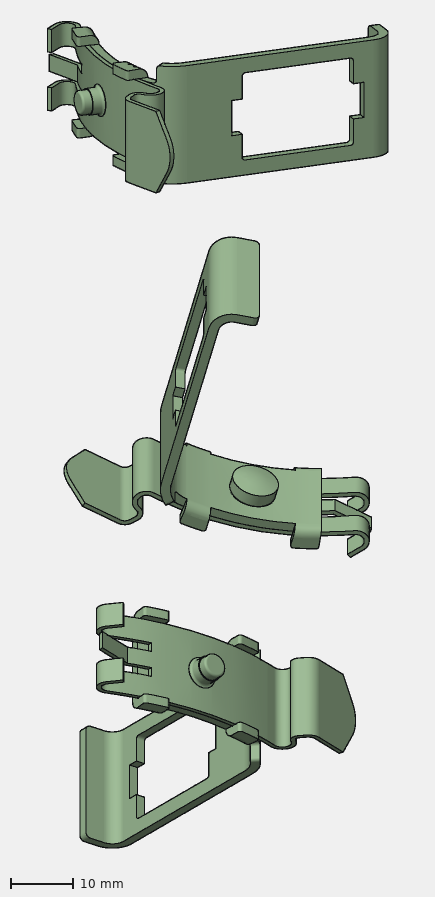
import cadquery as cq
import math


bracket_thickness = 1.6
spring_thickness = 0.8
contact_radius = 47.5
bracket_back_radius = contact_radius - bracket_thickness
spring_front_radius = contact_radius + spring_thickness
cutter_reach = 30.4
strip_width = 13.85

bracket_width = 20.0
bracket_top = 44.0
base_bend_start = 14.2
base_bend_radius = 4.75
top_bend_radius = 2.2
flange_length = 3.7
flange_corner_radius = 0.9
widening_heading = 44.0
widening_fillet = 0.6

window_length = 19.4
window_height = 14.85
window_center_y = 26.95
window_corner_radius = 0.5
window_notch_length = 23.1
slot_span = 5.95

grip_inner_x = 7.0
grip_outer_x = 11.45
grip_end_slope = 0.1
grip_low_y = -2.55
grip_high_y = 4.05
tab_front_depth = 2.15
grip_front_radius = contact_radius + tab_front_depth
tab_clearance = 0.05
grip_width = strip_width + 2 * (tab_clearance + bracket_thickness)
tab_bend_radius = bracket_thickness + tab_clearance
tab_corner_radius = 0.5

spring_half_angle = 18.0
shoulder_length = 2.0
hook_radius = 1.35
hook_turn = 148.0
hook_tail = 2.7
crest_radius = 1.45
crest_turn = 158.5
crest_tail = 0.4
valley_radius = 0.85
valley_turn = 93.5
valley_tail = 1.1
foot_radius = 1.4
foot_turn = 65.0
nose_start = 6.65
nose_slope = 0.65
nose_radius = 5.3
slot_root_x = -9.45
tongue_width = 2.9
tongue_crease_x = -13.55
tongue_end_x = -20.15
tongue_angle = 18.0

pin_radius = 2.0
pin_tip_y = -4.45
pin_tip_fillet = 0.4
head_radius = 3.8
head_seat_depth = 0.05
head_base_y = bracket_thickness - head_seat_depth
head_rim_y = 3.85
head_top_y = 4.5
collar_radius = 2.2
collar_end_y = -2.8
collar_flare = 0.45


def face_path(moves, thickness, side):
    """Follow the left (side 0) or right (side 1) face of a strip that starts at the origin along +X.

    A move is (length,) or (inner radius, turn angle), where a positive angle turns left.
    Returns the start point, the segments as (arc midpoint or None, end point), and the final heading.
    """
    heading = 0.0
    x, y = 0.0, -side * thickness
    start = (x, y)
    segments = []
    for move in moves:
        if len(move) == 1:
            x += move[0] * math.cos(heading)
            y += move[0] * math.sin(heading)
            segments.append((None, (x, y)))
            continue
        inner_radius, angle = move
        sign = math.copysign(1, angle)
        is_outer_face = (angle > 0) == (side == 1)
        swing = sign * (inner_radius + (thickness if is_outer_face else 0))
        center_x = x - swing * math.sin(heading)
        center_y = y + swing * math.cos(heading)
        arc_points = []
        for part in (0.5, 1.0):
            direction = heading + part * math.radians(angle)
            arc_x = center_x + swing * math.sin(direction)
            arc_y = center_y - swing * math.cos(direction)
            arc_points.append((arc_x, arc_y))
        heading += math.radians(angle)
        x, y = arc_points[1]
        segments.append(tuple(arc_points))
    return start, segments, heading


def draw_segment(outline, middle, end):
    """Add a line, or an arc when it has a middle point, to the outline."""
    if middle is None:
        return outline.lineTo(*end)
    return outline.threePointArc(middle, end)


def bent_strip(moves, thickness, width):
    """A strip of sheet metal whose left face starts at the origin along +X."""
    left_start, left, _ = face_path(moves, thickness, 0)
    right_start, right, _ = face_path(moves, thickness, 1)
    outline = cq.Workplane("XY").moveTo(*left_start)
    for middle, end in left:
        outline = draw_segment(outline, middle, end)
    outline = outline.lineTo(*right[-1][1])
    back_ends = [end for _, end in right[-2::-1]] + [right_start]
    for (middle, _), end in zip(reversed(right), back_ends):
        outline = draw_segment(outline, middle, end)
    return outline.close().extrude(width / 2, both=True)


def drum(radius, width):
    """A cylinder on the axis of the curved base."""
    return cq.Workplane("XY").center(0, contact_radius).circle(radius).extrude(width / 2, both=True)


def outside_strip():
    """Everything above and below the width of the base strip."""
    whole = cq.Workplane("XY").box(2 * cutter_reach, 2 * cutter_reach, 2 * bracket_width)
    return whole.cut(cq.Workplane("XY").box(2 * cutter_reach, 2 * cutter_reach, strip_width))


def make_base():
    """The curved base of the bracket, with two tabs folded round each edge of the spring."""
    end_low = (-grip_outer_x + grip_end_slope * grip_low_y, grip_low_y)
    end_high = (-grip_outer_x + grip_end_slope * grip_high_y, grip_high_y)
    bend_run = math.tan(math.radians(base_bend_start))
    block = (
        cq.Workplane("XY")
        .polyline([
            end_low,
            end_high,
            (bend_run * (contact_radius - grip_high_y), grip_high_y),
            (bend_run * (contact_radius - grip_low_y), grip_low_y),
        ])
        .close()
        .extrude(grip_width / 2, both=True)
    )
    block = block.intersect(drum(grip_front_radius, grip_width))
    block = block.cut(drum(bracket_back_radius, grip_width))
    block = block.faces("<Z or >Z").edges(cq.selectors.RadiusNthSelector(0)).fillet(tab_bend_radius)
    pocket_width = strip_width + 2 * tab_clearance
    pocket = drum(contact_radius + cutter_reach, pocket_width).cut(drum(contact_radius, pocket_width))
    block = block.cut(pocket)

    tab = cq.Workplane("XY").polyline([
        (-grip_inner_x, grip_low_y),
        (-grip_inner_x, grip_high_y),
        end_high,
        end_low,
    ])
    tab = tab.close().extrude(grip_width, both=True)
    block = block.cut(outside_strip().cut(tab).cut(tab.mirror("YZ")))
    front_corners = cq.selectors.BoxSelector(
        (-cutter_reach, grip_low_y, -grip_width), (cutter_reach, 0, grip_width)
    )
    return block.edges("|Z").edges(front_corners).fillet(tab_corner_radius)


def make_bracket():
    """The curved base with its tabs, the windowed leg and the top flange, bent from one strip."""
    bend_angle = math.radians(base_bend_start)
    bend_swing = bracket_back_radius - base_bend_radius
    bend_center_x = bend_swing * math.sin(bend_angle)
    bend_center_y = contact_radius - bend_swing * math.cos(bend_angle)
    leg_length = bracket_top - bracket_thickness - top_bend_radius - bend_center_y
    path = [
        (base_bend_radius, 90 - base_bend_start),
        (leg_length,),
        (top_bend_radius, 90),
        (flange_length,),
    ]
    body = bent_strip(path, bracket_thickness, bracket_width).translate((0, bracket_thickness, 0))
    body = body.rotate((0, contact_radius, 0), (0, contact_radius, 1), base_bend_start)
    body = body.edges("|Y").edges(">Y").fillet(flange_corner_radius)

    widening = math.radians(widening_heading)
    radial = (math.sin(widening), -math.cos(widening))
    step_end = (bend_center_x + cutter_reach * radial[0], bend_center_y + cutter_reach * radial[1])
    margin = (
        cq.Workplane("XY")
        .polyline([
            (bend_center_x, bend_center_y),
            step_end,
            (-cutter_reach, step_end[1]),
            (-cutter_reach, bend_center_y),
        ])
        .close()
        .extrude(bracket_width / 2, both=True)
    )
    body = body.cut(margin.intersect(outside_strip()))
    step_edges = cq.selectors.ParallelDirSelector(cq.Vector(*radial, 0))
    body = body.edges(step_edges).fillet(widening_fillet)

    body = body.union(make_base())
    return body.cut(make_window())


def make_window():
    """The cutter for the leg window: a rounded opening with a square notch at each end."""
    plane = cq.Workplane("YZ").center(window_center_y, 0)
    opening = plane.rect(window_length, window_height).extrude(bracket_width)
    opening = opening.edges("|X").fillet(window_corner_radius)
    return opening.union(plane.rect(window_notch_length, slot_span).extrude(bracket_width))


def make_nose(tail_path):
    """The pointed end plate of the spring, in the plane of its last straight stretch."""
    _, segments, heading = face_path(tail_path, spring_thickness, 0)
    start_x, start_y = segments[-1][1]
    along = (math.cos(heading), math.sin(heading), 0)
    through = (math.sin(heading), -math.cos(heading), 0)
    plate = (
        cq.Workplane(cq.Plane((start_x, start_y, 0), along, through))
        .moveTo(0, -strip_width / 2)
        .lineTo(nose_slope * strip_width / 2, 0)
        .lineTo(0, strip_width / 2)
        .close()
        .extrude(spring_thickness)
    )
    return plate.edges(cq.selectors.ParallelDirSelector(cq.Vector(*through))).edges(">X").fillet(nose_radius)


def make_tongue():
    """The centre tongue: it follows the curve from the slot roots to a crease, then bends forward."""
    crease_angle = math.asin(-tongue_crease_x / contact_radius)
    curved = bent_strip([(contact_radius, math.degrees(crease_angle))], spring_thickness, tongue_width)
    slope = math.tan(math.radians(tongue_angle))
    height = spring_thickness / math.cos(math.radians(tongue_angle))
    crease_y = contact_radius * (1 - math.cos(crease_angle))
    end_y = crease_y - slope * (tongue_crease_x - tongue_end_x)
    flat = (
        cq.Workplane("XY")
        .polyline([
            (tongue_crease_x, crease_y),
            (tongue_end_x, end_y),
            (tongue_end_x, end_y - height),
            (tongue_crease_x, crease_y - height),
        ])
        .close()
        .extrude(tongue_width / 2, both=True)
    )
    return curved.mirror("YZ").union(flat)


def make_spring():
    """The leaf spring: two hooked arms and a tongue on the left, a crest, foot and nose on the right."""
    middle = (contact_radius, spring_half_angle)
    hook_path = [middle, (shoulder_length,), (hook_radius, -hook_turn), (hook_tail,)]
    tail_path = [
        middle,
        (shoulder_length,),
        (crest_radius, -crest_turn),
        (crest_tail,),
        (valley_radius, valley_turn),
        (valley_tail,),
        (foot_radius, foot_turn),
        (nose_start,),
    ]
    hook = bent_strip(hook_path, spring_thickness, strip_width).mirror("YZ")
    gap = cq.Workplane("XY").box(cutter_reach, cutter_reach, slot_span)
    hook = hook.cut(gap.translate((slot_root_x - cutter_reach / 2, 0, 0)))
    tail = bent_strip(tail_path, spring_thickness, strip_width)
    return hook.union(make_tongue()).union(tail).union(make_nose(tail_path))


def make_pin():
    """Domed head, shank and rounded tip, turned about Y."""
    dome_height = head_top_y - head_rim_y
    dome_radius = (head_radius ** 2 + dome_height ** 2) / (2 * dome_height)
    dome_center_y = head_top_y - dome_radius
    middle_x = head_radius / 2
    dome_middle = (middle_x, dome_center_y + math.sqrt(dome_radius ** 2 - middle_x ** 2))
    pin = (
        cq.Workplane("XY")
        .moveTo(0, pin_tip_y)
        .lineTo(pin_radius, pin_tip_y)
        .lineTo(pin_radius, head_base_y)
        .lineTo(head_radius, head_base_y)
        .lineTo(head_radius, head_rim_y)
        .threePointArc(dome_middle, (0, head_top_y))
        .close()
        .revolve(360, (0, 0, 0), (0, 1, 0))
    )
    return pin.faces("<Y").edges().fillet(pin_tip_fillet)


def make_collar():
    """A sleeve on the shank whose flared end sits on the curved front of the spring."""
    flare_radius = collar_radius + collar_flare
    flare_y = -spring_thickness
    bulge = collar_flare * (1 - math.sqrt(0.5))
    sleeve = (
        cq.Workplane("XY")
        .moveTo(pin_radius, collar_end_y)
        .lineTo(collar_radius, collar_end_y)
        .lineTo(collar_radius, flare_y - collar_flare)
        .threePointArc((collar_radius + bulge, flare_y - bulge), (flare_radius, flare_y))
        .lineTo(flare_radius, 0)
        .lineTo(pin_radius, 0)
        .close()
        .revolve(360, (0, 0, 0), (0, 1, 0))
    )
    return sleeve.cut(drum(spring_front_radius, strip_width))


pin = make_pin()
collar = make_collar()
bracket = make_bracket().cut(pin)
spring = make_spring().cut(pin)

result = cq.Compound.makeCompound([bracket.val(), spring.val(), pin.val(), collar.val()])